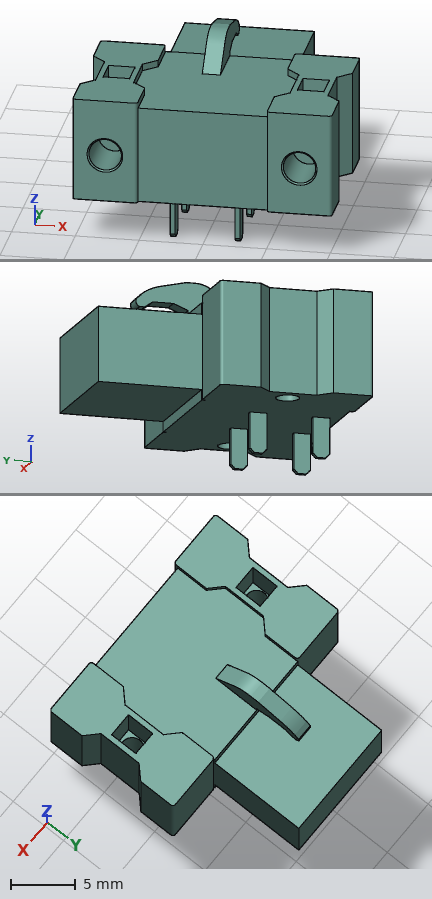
import cadquery as cq


overall_length = 20.65
overall_height = 13.48

pitch = 5.08

block_width = 2 * pitch
block_height = 7.76
plug_length = 8.35
plug_bottom = 0.85
plug_height = 6.0

flange_width = pitch
flange_length = overall_length - plug_length
flange_height = 8.3
flange_corner_radius = 0.25
flange_centre_x = (block_width + flange_width) / 2
flange_centre_y = -flange_length / 2
waist_inset = 1.05
waist_length = 3.8
waist_mouth_length = 5.85
front_step = 0.37
block_length = flange_length - front_step

bore_diameter = 2.55
bore_mouth_diameter = 2.79
bore_mouth_chamfer = (bore_mouth_diameter - bore_diameter) / 2
bore_depth = 4.13
bore_z = 3.8
centre_hole_diameter = 0.05
centre_hole_depth = 0.41

pocket_width = 2.06
pocket_length = 2.4
pocket_depth = flange_height / 2
mounting_hole_diameter = 1.85

hook_width = 1.42
hook_centre_x = -0.76
hook_top = 10.28
hook_underside = 8.53
hook_tip_bottom = 8.07
hook_root_top = 8.05

pin_thickness = 0.4
pin_width = 1.36
pin_length = overall_height - hook_top
pin_chamfer = 0.33
front_pin_y = -10.39


def make_block():
    block = cq.Workplane("XY").box(block_width, block_length, block_height, centered=(True, False, False))
    return block.translate((0, -block_length, 0))


def make_plug():
    plug = cq.Workplane("XY").box(block_width, plug_length, plug_height, centered=(True, False, False))
    return plug.translate((0, 0, plug_bottom))


def make_waist_filling():
    """Widening of the block that fills the inner waists of both flanges."""
    filling_width = block_width + 2 * waist_inset
    filling = cq.Workplane("XY").box(
        filling_width, waist_mouth_length, block_height, centered=(True, True, False)
    )
    return filling.translate((0, flange_centre_y, 0))


def make_flange():
    """Waisted flange with its pocket, mounting hole and screw bore, centred on X = 0."""
    half_width = flange_width / 2
    half_length = flange_length / 2
    flange = cq.Workplane("XY").box(flange_width, flange_length, flange_height, centered=(True, True, False))
    flange = flange.edges("|Z").fillet(flange_corner_radius)

    for side in (-1, 1):
        waist = (
            cq.Workplane("XY")
            .moveTo(side * half_width, -waist_mouth_length / 2)
            .lineTo(side * (half_width - waist_inset), -waist_length / 2)
            .lineTo(side * (half_width - waist_inset), waist_length / 2)
            .lineTo(side * half_width, waist_mouth_length / 2)
            .close()
            .extrude(flange_height)
        )
        flange = flange.cut(waist)

    pocket = (
        cq.Workplane("XY", origin=(0, 0, flange_height))
        .rect(pocket_width, pocket_length)
        .extrude(-pocket_depth)
    )
    mounting_hole = cq.Workplane("XY").circle(mounting_hole_diameter / 2).extrude(flange_height)

    bore = (
        cq.Workplane("XZ", origin=(0, -half_length, bore_z))
        .circle(bore_diameter / 2)
        .extrude(-bore_depth)
    )
    bore_mouth = cq.Workplane("XY").add(
        cq.Solid.makeCone(
            bore_mouth_diameter / 2,
            bore_diameter / 2,
            bore_mouth_chamfer,
            pnt=cq.Vector(0, -half_length, bore_z),
            dir=cq.Vector(0, 1, 0),
        )
    )
    centre_hole = (
        cq.Workplane("XZ", origin=(0, bore_depth - half_length, bore_z))
        .circle(centre_hole_diameter / 2)
        .extrude(-centre_hole_depth)
    )
    for cutter in (pocket, mounting_hole, bore, bore_mouth, centre_hole):
        flange = flange.cut(cutter)
    return flange


def make_hook():
    """Latch hook, its side outline given as (Y, Z) points starting at the front foot."""
    outline = (
        cq.Workplane("YZ", origin=(hook_centre_x, 0, 0))
        .moveTo(-4.07, block_height)
        .lineTo(-2.23, 9.58)
        .threePointArc((-1.49, 10.1), (-0.58, hook_top))
        .lineTo(0.17, hook_top)
        .lineTo(0.33, 10.25)
        .lineTo(2.35, 9.79)
        .threePointArc((3.14, 9.5), (3.8, 9.07))
        .lineTo(4.17, 8.7)
        .threePointArc((4.17, 8.32), (3.9, hook_tip_bottom))
        .lineTo(3.5, hook_tip_bottom)
        .lineTo(2.85, hook_underside)
        .lineTo(1.18, hook_underside)
        .lineTo(0, hook_root_top)
        .lineTo(0, block_height)
        .close()
    )
    return outline.extrude(hook_width / 2, both=True)


def make_housing():
    housing = make_block().union(make_plug()).union(make_waist_filling()).union(make_hook())
    for side in (-1, 1):
        flange = make_flange().translate((side * flange_centre_x, flange_centre_y, 0))
        housing = housing.union(flange)
    return housing


def make_pin(x, y):
    """Flat solder pin below the block, with both corners of its tip cut off."""
    half_width = pin_width / 2
    tip_half_width = half_width - pin_chamfer
    shoulder_z = pin_chamfer - pin_length
    pin = (
        cq.Workplane("YZ")
        .moveTo(-half_width, 0)
        .lineTo(-half_width, shoulder_z)
        .lineTo(-tip_half_width, -pin_length)
        .lineTo(tip_half_width, -pin_length)
        .lineTo(half_width, shoulder_z)
        .lineTo(half_width, 0)
        .close()
        .extrude(pin_thickness / 2, both=True)
    )
    return pin.translate((x, y, 0))


housing = make_housing()
pins = []
for pin_x in (-pitch / 2, pitch / 2):
    for pin_y in (front_pin_y, front_pin_y + pitch):
        pins.append(make_pin(pin_x, pin_y).val())

result = cq.Compound.makeCompound([housing.val(), *pins])